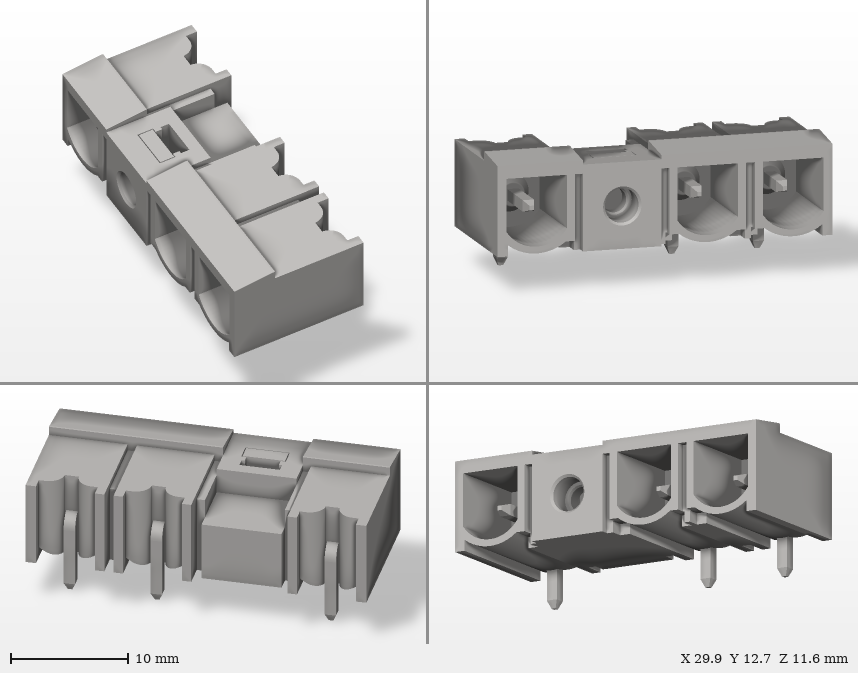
import cadquery as cq

PITCH = 7.62
PIN_X = [0, 2 * PITCH, 3 * PITCH]
SCREW_X = PITCH
END_MARGIN = 3.5
LEFT_END = PIN_X[0] - END_MARGIN
RIGHT_END = PIN_X[-1] + END_MARGIN
AXIS_Z = 3.75

DEPTH = 12.65
BODY_HEIGHT = 7.6
MODULE_HALF_WIDTH = 3.4
LEG_INNER = 2.58
ARCH_SPRING_Z = 0.98
ARCH_BOTTOM_Z = 0.1
LEG_FRONT_Y = 2.0
WEB_UNDERCUT = 0.13

RAIL_DEPTH = 3.98
RAIL_LAND = 0.18
RAIL_TOP_Z = 8.4
RAIL_FRONT_Z = 7.95

WEB_FRONT_Y = 0.8
WEB_BACK_Y = 10.6
WEB_TOP_Z = 7.0

SOCKET_HALF_WIDTH = 2.69
SOCKET_TOP_Z = 6.8
SOCKET_SPRING_Z = 2.12
SOCKET_BOTTOM_Z = 0.7
SOCKET_DEPTH = 8.0
BOSS_BASE_RADIUS = 1.7
BOSS_TIP_RADIUS = 1.05
BOSS_LENGTH = 1.0
BOSS_EDGE_FILLET = 0.15

RECESS_Y = 11.58
PIN_SLOT_HALF_WIDTH = 0.61
PIN_SLOT_RADIUS = 1.4

PIN_SIZE = 1.0
PIN_FRONT_Y = [1.5, 2.45, 2.45]
PIN_BACK_Y = 11.23
PIN_PROTRUSION = 3.2
PIN_BOTTOM_Z = -PIN_PROTRUSION
PIN_BEND_RADIUS = 1.5
PIN_TIP_SIZE = 0.4
PIN_MATING_TIP_LENGTH = 1.0
PIN_FOOT_TIP_LENGTH = 0.7
PIN_SLOT_Y = PIN_BACK_Y - PIN_SIZE

BLOCK_HALF_WIDTH = 3.5
BLOCK_LEFT = SCREW_X - BLOCK_HALF_WIDTH
BLOCK_RIGHT = SCREW_X + BLOCK_HALF_WIDTH
BLOCK_STEP_Y = 6.27
BLOCK_BACK_Y = 11.85
BLOCK_REAR_HEIGHT = 5.3
SCREW_HOLE_RADIUS = 1.5
SCREW_HOLE_CHAMFER = 0.21

NUT_WIDTH = 3.72
NUT_FRONT_Y = 2.26
NUT_THICKNESS = 1.36
NUT_BOTTOM_Z = AXIS_Z - NUT_WIDTH / 2
NUT_HOLE_RADIUS = 1.08
NUT_HOLE_CHAMFER = 0.16
NUT_CLEARANCE = 0.085
NUT_BACK_Y = NUT_FRONT_Y + NUT_THICKNESS
NUT_SLOT_WIDTH = NUT_WIDTH + 2 * NUT_CLEARANCE
NUT_SLOT_FRONT_Y = NUT_FRONT_Y - NUT_CLEARANCE
NUT_SLOT_BACK_Y = NUT_BACK_Y + NUT_CLEARANCE
NECK_WIDTH = 2.99
NECK_BACK_Y = 4.34
POCKET_WIDTH = 3.55
POCKET_BACK_Y = 5.16


def box(x, y, z):
    """Box given by its (low, high) range along each axis."""
    size = [high - low for low, high in (x, y, z)]
    return cq.Workplane("XY").box(*size, centered=False).translate((x[0], y[0], z[0]))


def lengthwise(x, y):
    """XZ sketch plane with its origin on (x, y), facing the mating side."""
    return cq.Workplane("XZ", origin=(x, y, 0))


def arched_prism(x, half_width, top_z, spring_z, bottom_z, length):
    """Prism from the mating face backwards: flat top and sides, bulging arc underneath."""
    return (
        lengthwise(x, 0)
        .moveTo(-half_width, spring_z)
        .threePointArc((0, bottom_z), (half_width, spring_z))
        .lineTo(half_width, top_z)
        .lineTo(-half_width, top_z)
        .close()
        .extrude(-length)
    )


def module_side(x, direction, at_end):
    """Side wall and leg of a module, on the side given by direction (-1 or 1)."""
    outer = END_MARGIN if at_end else MODULE_HALF_WIDTH
    leg_front = 0 if at_end else LEG_FRONT_Y
    x_range = sorted((x + direction * LEG_INNER, x + direction * outer))
    wall = box(x_range, (0, DEPTH), (ARCH_SPRING_Z, BODY_HEIGHT))
    return wall.union(box(x_range, (leg_front, DEPTH), (0, ARCH_SPRING_Z)))


def pin_slot(x):
    """Cut for the pin in the back of a module; its rear corners are rounded."""
    flare = PIN_SLOT_HALF_WIDTH + PIN_SLOT_RADIUS
    corner_y = RECESS_Y - PIN_SLOT_RADIUS
    half = PIN_SLOT_HALF_WIDTH
    return (
        cq.Workplane("XY", origin=(x, 0, 0))
        .moveTo(-flare, RECESS_Y)
        .radiusArc((-half, corner_y), PIN_SLOT_RADIUS)
        .lineTo(-half, PIN_SLOT_Y)
        .lineTo(half, PIN_SLOT_Y)
        .lineTo(half, corner_y)
        .radiusArc((flare, RECESS_Y), PIN_SLOT_RADIUS)
        .close()
        .extrude(BODY_HEIGHT)
    )


def socket_boss(x):
    """Cone around the pin on the floor of the socket."""
    cone = cq.Workplane(
        cq.Solid.makeCone(
            BOSS_BASE_RADIUS,
            BOSS_TIP_RADIUS,
            BOSS_LENGTH,
            cq.Vector(x, SOCKET_DEPTH, AXIS_Z),
            cq.Vector(0, -1, 0),
        )
    )
    return cone.faces("<Y").edges().fillet(BOSS_EDGE_FILLET)


def pin_module(x):
    """Housing section around one pin, including its socket."""
    module = arched_prism(x, LEG_INNER, BODY_HEIGHT, ARCH_SPRING_Z, ARCH_BOTTOM_Z, RECESS_Y)
    module = module.union(module_side(x, -1, x == PIN_X[0]))
    module = module.union(module_side(x, 1, x == PIN_X[-1]))
    socket = arched_prism(
        x, SOCKET_HALF_WIDTH, SOCKET_TOP_Z, SOCKET_SPRING_Z, SOCKET_BOTTOM_Z, SOCKET_DEPTH
    )
    return module.cut(socket).union(socket_boss(x)).cut(pin_slot(x))


def rail(x_start, x_end):
    """Sloped rail above the mating face, with a narrow flat land at its back."""
    return (
        cq.Workplane("YZ", origin=(x_start, 0, 0))
        .moveTo(0, SOCKET_TOP_Z)
        .lineTo(0, RAIL_FRONT_Z)
        .lineTo(RAIL_DEPTH - RAIL_LAND, RAIL_TOP_Z)
        .lineTo(RAIL_DEPTH, RAIL_TOP_Z)
        .lineTo(RAIL_DEPTH, SOCKET_TOP_Z)
        .close()
        .extrude(x_end - x_start)
    )


def web(x_start, x_end):
    """Thin wall across a gap, trimmed low at the front where it meets a pin module."""
    wall = box((x_start, x_end), (WEB_FRONT_Y, WEB_BACK_Y), (0, WEB_TOP_Z))
    trims = []
    if x_start != BLOCK_RIGHT:
        trims.append((x_start, x_start + WEB_UNDERCUT))
    if x_end != BLOCK_LEFT:
        trims.append((x_end - WEB_UNDERCUT, x_end))
    for trim in trims:
        wall = wall.cut(box(trim, (WEB_FRONT_Y, LEG_FRONT_Y), (0, ARCH_SPRING_Z)))
    return wall


def screw_block():
    """Stepped block with a screw hole and a nut slot that opens upwards."""
    sides = (BLOCK_LEFT, BLOCK_RIGHT)
    block = box(sides, (0, BLOCK_STEP_Y), (0, BODY_HEIGHT))
    block = block.union(box(sides, (BLOCK_STEP_Y, BLOCK_BACK_Y), (0, BLOCK_REAR_HEIGHT)))
    hole = lengthwise(SCREW_X, 0).center(0, AXIS_Z).circle(SCREW_HOLE_RADIUS)
    block = block.cut(hole.extrude(-POCKET_BACK_Y))
    block = block.faces("<Y").edges("%CIRCLE").chamfer(SCREW_HOLE_CHAMFER)
    slot_steps = [
        (NUT_SLOT_WIDTH, NUT_SLOT_FRONT_Y, NUT_SLOT_BACK_Y),
        (NECK_WIDTH, NUT_SLOT_BACK_Y, NECK_BACK_Y),
        (POCKET_WIDTH, NECK_BACK_Y, POCKET_BACK_Y),
    ]
    for width, front, back in slot_steps:
        x_range = (SCREW_X - width / 2, SCREW_X + width / 2)
        block = block.cut(box(x_range, (front, back), (NUT_BOTTOM_Z, BODY_HEIGHT)))
    return block


def pin(x, front_y):
    """Square pin from its mating tip at front_y to a right-angle bend and a tapered foot."""
    half = PIN_SIZE / 2
    top = AXIS_Z + half
    bottom = AXIS_Z - half
    front = front_y + PIN_MATING_TIP_LENGTH
    foot = PIN_BOTTOM_Z + PIN_FOOT_TIP_LENGTH
    inner_radius = PIN_BEND_RADIUS - PIN_SIZE
    shank = (
        cq.Workplane("YZ", origin=(x - half, 0, 0))
        .moveTo(front, top)
        .lineTo(PIN_BACK_Y - PIN_BEND_RADIUS, top)
        .radiusArc((PIN_BACK_Y, top - PIN_BEND_RADIUS), PIN_BEND_RADIUS)
        .lineTo(PIN_BACK_Y, foot)
        .lineTo(PIN_SLOT_Y, foot)
        .lineTo(PIN_SLOT_Y, bottom - inner_radius)
        .radiusArc((PIN_SLOT_Y - inner_radius, bottom), -inner_radius)
        .lineTo(front, bottom)
        .close()
        .extrude(PIN_SIZE)
    )
    for end, length in [("<Y", PIN_MATING_TIP_LENGTH), ("<Z", PIN_FOOT_TIP_LENGTH)]:
        tip = (
            shank.faces(end)
            .workplane(centerOption="CenterOfMass")
            .rect(PIN_SIZE, PIN_SIZE)
            .workplane(offset=length)
            .rect(PIN_TIP_SIZE, PIN_TIP_SIZE)
            .loft(combine=False)
        )
        shank = shank.union(tip)
    return shank


def square_nut():
    """Tall square-edged nut plate, level with the top of the screw block."""
    sides = (SCREW_X - NUT_WIDTH / 2, SCREW_X + NUT_WIDTH / 2)
    plate = box(sides, (NUT_FRONT_Y, NUT_BACK_Y), (NUT_BOTTOM_Z, BODY_HEIGHT))
    hole = lengthwise(SCREW_X, 0).center(0, AXIS_Z).circle(NUT_HOLE_RADIUS)
    plate = plate.cut(hole.extrude(-DEPTH))
    return plate.faces("<Y").edges("%CIRCLE").chamfer(NUT_HOLE_CHAMFER)


housing = screw_block()
for pin_x in PIN_X:
    housing = housing.union(pin_module(pin_x))
for rail_ends in [(LEFT_END, BLOCK_LEFT), (BLOCK_RIGHT, RIGHT_END)]:
    housing = housing.union(rail(*rail_ends))
gaps = [
    (PIN_X[0] + MODULE_HALF_WIDTH, BLOCK_LEFT),
    (BLOCK_RIGHT, PIN_X[1] - MODULE_HALF_WIDTH),
    (PIN_X[1] + MODULE_HALF_WIDTH, PIN_X[2] - MODULE_HALF_WIDTH),
]
for gap in gaps:
    housing = housing.union(web(*gap))

pins = [pin(pin_x, front_y) for pin_x, front_y in zip(PIN_X, PIN_FRONT_Y)]
for seated_pin in pins:
    housing = housing.cut(seated_pin)

nut = square_nut()

bodies = [housing, *pins, nut]
result = cq.Compound.makeCompound([body.solids().val() for body in bodies])